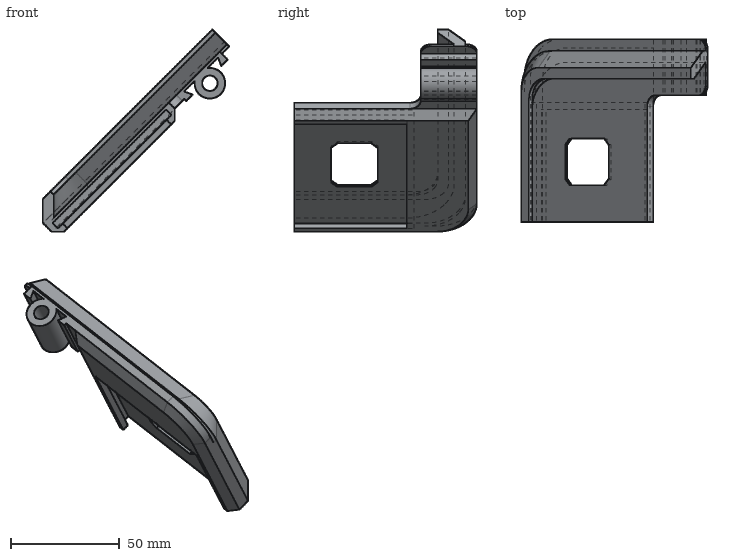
import cadquery as cq
import math

TILT = 45.0
TAPER = 45.0
MARGIN = 55.8

length = 118.0
width = 84.0
leg_width = 80.0
bar_width = 25.8
plate_thickness = 1.4
corner_radius = 18.6
bend_radius = 4.9
tip_radius = 4.9

wall_setback = 5.4
wall_step = 1.9
wall_height = 9.6
rim_height = 2.0
top_width = 5.0
wall_outer_radius = 18.6
wall_inner_radius = 21.9
rim_corner_radius = 9.8

skirt_depth = 3.9
tray_depth = 7.9
lip_top_depth = 4.8
tray_wall = 3.2
lip_reach = 3.2

window_x = 40.8
window_y = 27.7
window_length = 28.35
window_width = 21.4
window_chamfer = 3.0

hinge_x = 99.6
barrel_drop = 7.1
barrel_radius = 7.1
bore_diameter = 7.0
hook_depth = 5.2
hook_half_span = 13.5
slot_half_top = 11.0
slot_half_bottom = 9.2

bar_y = width - bar_width


def box(x0, x1, y0, y1, z0, z1):
    return cq.Workplane("XY").box(x1 - x0, y1 - y0, z1 - z0, centered=False).translate((x0, y0, z0))


def corner_region(x0, x1, y1, radius, z):
    """Rectangle rounded at its outer corner (x0, y1), reaching past the open end of the leg."""
    cut = radius * (1 - math.sqrt(0.5))
    return (
        cq.Workplane("XY", origin=(0, 0, z))
        .moveTo(x0, -MARGIN)
        .lineTo(x0, y1 - radius)
        .threePointArc((x0 + cut, y1 - cut), (x0 + radius, y1))
        .lineTo(x1, y1)
        .lineTo(x1, -MARGIN)
        .close()
    )


def plate_layer(depth, bar_end):
    """L-shaped layer from the upper face down to the given depth."""
    leg = corner_region(0, leg_width, width, corner_radius, -depth).extrude(depth)
    bar = box(leg_width / 2, bar_end, bar_y, width, -depth, 0)
    layer = leg.union(bar).intersect(box(0, bar_end, 0, width, -depth, 0))
    bend = cq.selectors.BoxSelector(
        (leg_width - 0.9, bar_y - 0.9, -depth - 0.9), (leg_width + 0.9, bar_y + 0.9, 0.9)
    )
    return layer.edges("|Z").edges(bend).fillet(bend_radius)


def raised_wall():
    far_x = length + MARGIN
    base_y = width - wall_setback
    slope_height = wall_height - wall_step
    step = corner_region(0, far_x, base_y, wall_outer_radius, -plate_thickness).extrude(
        plate_thickness + wall_step
    )
    slope = corner_region(0, far_x, base_y, wall_outer_radius, wall_step).extrude(
        slope_height, taper=TAPER
    )

    lean = wall_height - rim_height
    rim_inset = slope_height + top_width
    inner_x = rim_inset - lean
    inner_slope = corner_region(inner_x, far_x, base_y - inner_x, wall_inner_radius, 0).extrude(
        lean, taper=TAPER
    )
    inner_rim = corner_region(rim_inset, far_x, base_y - rim_inset, rim_corner_radius, lean).extrude(
        rim_height
    )
    wall = step.union(slope).intersect(box(0, length, 0, width, 0, wall_height))
    return wall.cut(inner_slope).cut(inner_rim)


def tray():
    tray_height = tray_depth - skirt_depth
    lower = corner_region(0, leg_width, width, corner_radius, -skirt_depth).extrude(
        -tray_height, taper=TAPER
    )
    return lower.intersect(box(0, leg_width, 0, width, -tray_depth, -skirt_depth))


def tray_hollow(inset, top, bottom):
    """Pocket below the leg, open at the leg's end and closed where the bar begins."""
    return box(inset, leg_width - inset, 0, bar_y - inset, -bottom, -top)


def window():
    opening = box(
        window_x - window_length / 2, window_x + window_length / 2,
        window_y - window_width / 2, window_y + window_width / 2,
        -tray_depth, wall_height,
    )
    return opening.edges("|Z").chamfer(window_chamfer)


def along_bar_width(x, z):
    """Sketch plane whose extrusion by bar_width spans the bar from its inner to its outer edge."""
    return cq.Workplane("XZ", origin=(x, width, z))


def hinge_hooks():
    return box(
        hinge_x - hook_half_span, hinge_x + hook_half_span, bar_y, width, -hook_depth, -plate_thickness
    )


def hinge_slot():
    depth = hook_depth - plate_thickness
    return (
        along_bar_width(hinge_x, -plate_thickness)
        .polyline([
            (-slot_half_top, 0),
            (slot_half_top, 0),
            (slot_half_bottom, -depth),
            (-slot_half_bottom, -depth),
        ])
        .close()
        .extrude(bar_width)
    )


def hinge_barrel():
    return along_bar_width(hinge_x, -barrel_drop).circle(barrel_radius).extrude(bar_width)


def hinge_bore():
    return along_bar_width(hinge_x, -barrel_drop).circle(bore_diameter / 2).extrude(bar_width)


plate = plate_layer(plate_thickness, length).edges("|Z and >X").fillet(tip_radius)
skirt = plate_layer(skirt_depth, hinge_x + hook_half_span)

body = plate.union(skirt).union(tray())
body = body.cut(tray_hollow(tray_wall, plate_thickness, lip_top_depth))
body = body.cut(tray_hollow(tray_wall + lip_reach, plate_thickness, tray_depth))
body = body.union(hinge_hooks()).cut(hinge_slot())
body = body.union(hinge_barrel()).cut(hinge_bore())
body = body.union(raised_wall()).cut(window())

result = body.rotate((0, 0, 0), (0, 1, 0), -TILT)